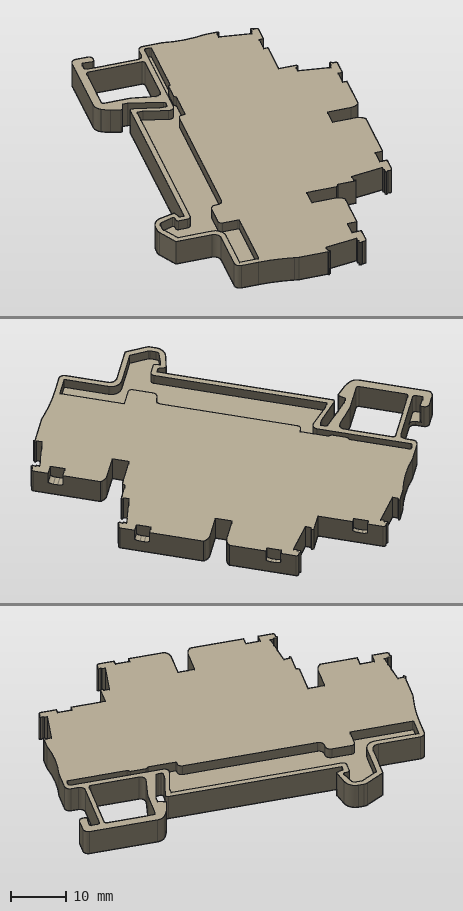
import cadquery as cq
import math

length = 68.0
height = 46.0
thickness = 5.2
edge_radius = 1.0

lower_top = 35.3
step_rise = height - lower_top
step_shift = 13.8
lower_mirror_sum = 67.85
upper_mirror_sum = 63.2
upper_left_wall = 13.6
upper_right_wall = 49.4
shoulder_y = 28.0

slot_width = 3.1
slot_depth = 6.1
upper_slot_x = 28.5
lower_slot_x = 50.0
slot_mouth_flare = 0.8
slot_mouth_height = 1.55
slot_mouth_radius = 2.05

deck_y = 12.7
beam_y = 5.9
beam_right_x = 50.0
right_ledge_y = 10.4
right_edge_x = 67.0
right_flank_x = 67.8
right_foot_x = 56.7

waist_bottom_y = 17.4
waist_top_y = 25.6
waist_depth = 0.4

foot_wall_x = 3.4
foot_wall_thickness = 0.9
foot_floor = 1.6
hook_height = 4.1
hook_thickness = 1.6
hook_web_thickness = 1.0
web_overlap = 0.4
window_right_x = 13.9

slit_left_x = 15.15
slit_right_x = 18.2
foot_latch_x = 16.7
foot_latch_y = 4.6

recess_depth = 2.05
rim = 1.0
recess_top = 15.1
recess_step_y = 13.75
recess_left_x = 0.8
recess_beam_x = 18.2
recess_step_x = 21.4
recess_dip = 0.4
tongue_left_x = 48.55
tongue_right_x = 54.0
tongue_y = 11.3

notch_width = 2.7
notch_floor_width = 0.8
notch_depth = thickness / 2
notch_curl = 0.3
marker_notches = [
    (4.4, lower_top, 0.8),
    (18.15, height, 0.8),
    (42.5, height, 1.4),
    (60.9, lower_top, 1.85),
]


def corner_arc(before, here, after, radius):
    """Start, middle and end of the arc that rounds the corner `here` between its neighbours."""
    to_before = (before - here).normalized()
    to_after = (after - here).normalized()
    half_angle = to_before.getAngle(to_after) / 2
    setback = radius / math.tan(half_angle)
    middle_gap = radius / math.sin(half_angle) - radius
    bisector = (to_before + to_after).normalized()
    return [here + to_before * setback, here + bisector * middle_gap, here + to_after * setback]


def rounded_profile(corners):
    """Closed outline through (x, y) or (x, y, radius) corners, with each radius as a tangent arc."""
    points = [cq.Vector(x, y) for x, y, *_ in corners]
    stretches = []
    for i, (_, _, *radius) in enumerate(corners):
        if radius:
            following = points[(i + 1) % len(points)]
            stretches.append(corner_arc(points[i - 1], points[i], following, radius[0]))
        else:
            stretches.append([points[i]])

    start = stretches[0][-1]
    profile = cq.Workplane("XY").moveTo(start.x, start.y)
    for stretch in stretches[1:] + stretches[:1]:
        profile = profile.lineTo(stretch[0].x, stretch[0].y)
        if len(stretch) > 1:
            middle, end = stretch[1:]
            profile = profile.threePointArc((middle.x, middle.y), (end.x, end.y))
    return profile.close()


def left_jaw(shift_x, shift_y):
    """Latch jaw at the left end of a step, from its shoulder up to the top corner."""
    jaw = [
        (0.2, shoulder_y + 0.15),
        (0.4, shoulder_y - 0.3),
        (1.4, shoulder_y - 0.35),
        (2.3, lower_top - 1.5),
        (1.7, lower_top - 1.55),
        (1.55, lower_top - 1.3),
        (1.0, lower_top - 1.4),
        (0.8, lower_top - 1.15),
        (1.1, lower_top - 0.8),
        (1.1, lower_top, 0.4),
    ]
    return [(x + shift_x, y + shift_y, *radius) for x, y, *radius in jaw]


def right_jaw(mirror_sum, shift_x, shift_y):
    """Mirror image of a left jaw, from the top corner down to the shoulder."""
    jaw = reversed(left_jaw(shift_x, shift_y))
    return [(mirror_sum - x, y, *radius) for x, y, *radius in jaw]


def slot(left_x, top_y, left_mouth):
    """Slot with a flared right mouth and the given corners as its left mouth."""
    right_x = left_x + slot_width
    floor_y = top_y - slot_depth
    return left_mouth + [
        (left_x, floor_y),
        (right_x, floor_y),
        (right_x, top_y - slot_mouth_height / 2, slot_mouth_radius),
        (right_x + slot_mouth_flare, top_y),
    ]


def body_outline():
    """Corners of the whole body, clockwise from the underside of the left foot."""
    left_foot = [
        (15.9, 1.8, 6.1),
        (14.8, 0, 1.9),
        (0, 0, edge_radius),
        (0, hook_height, 0.8),
        (hook_thickness, hook_height, 0.35),
        (hook_thickness - 0.2, foot_floor, 0.35),
        (foot_wall_x, foot_floor, 0.55),
        (foot_wall_x, deck_y, edge_radius),
        (0, deck_y, edge_radius),
        (0, shoulder_y),
    ]
    upper_slot_mouth = [
        (upper_slot_x - slot_mouth_flare, height),
        (upper_slot_x, height - slot_mouth_height / 2, slot_mouth_radius),
    ]
    lower_slot_mouth = [
        (upper_right_wall, lower_top),
        (lower_slot_x, lower_top - 0.4),
    ]
    top = (
        left_jaw(0, 0)
        + [(upper_left_wall, lower_top), (upper_left_wall, shoulder_y + step_rise)]
        + left_jaw(step_shift, step_rise)
        + slot(upper_slot_x, height, upper_slot_mouth)
        + right_jaw(upper_mirror_sum, step_shift, step_rise)
        + [(upper_right_wall, shoulder_y + step_rise)]
        + slot(lower_slot_x, lower_top, lower_slot_mouth)
        + right_jaw(lower_mirror_sum, 0, 0)
    )
    right_foot = [
        (length, shoulder_y - 0.3),
        (right_flank_x, shoulder_y - 0.4),
        (right_flank_x, 22.1),
        (right_edge_x, 18.0, 34.0),
        (right_edge_x, right_ledge_y, edge_radius),
        (right_foot_x, right_ledge_y, 1.35),
        (right_foot_x, 2.25, 0.2),
        (52.9, 0, 1.35),
        (49.7, 0, 2.3),
        (48.55, 4.5, 0.2),
        (beam_right_x, 5.0, 0.2),
        (beam_right_x, beam_y),
    ]
    slit = [
        (16.85, beam_y, 0.4),
        (slit_right_x, 11.4, 1.0),
        (slit_right_x, deck_y, 0.35),
        (16.9, deck_y, 0.5),
        (slit_left_x, 6.1, 0.35),
        (slit_left_x, foot_latch_y + 0.5),
        (foot_latch_x, foot_latch_y, 0.3),
    ]
    return left_foot + top + right_foot + slit


def prism(corners, base_z, rise):
    """Upright block with a rounded outline."""
    return rounded_profile(corners).extrude(rise).translate((0, 0, base_z))


def foot_window():
    """Opening right through the left foot."""
    left_x = foot_wall_x + foot_wall_thickness
    corners = [
        (left_x, foot_floor, 0.5),
        (window_right_x, foot_floor, 0.5),
        (window_right_x, 7.1, 1.35),
        (14.75, 11.5, 0.35),
        (14.75, deck_y, edge_radius),
        (left_x, deck_y, 0.5),
    ]
    return prism(corners, 0, thickness)


def hook_web():
    """Thin floor that closes the gap between the left hook and the foot wall."""
    left_x = hook_thickness - web_overlap
    right_x = foot_wall_x + web_overlap
    low_y = foot_floor - web_overlap
    high_y = hook_height + 2 * edge_radius
    corners = [
        (left_x, low_y),
        (right_x, low_y),
        (right_x, high_y),
        (foot_wall_x, high_y),
        (foot_wall_x, hook_height, edge_radius),
        (left_x, hook_height),
    ]
    return prism(corners, 0, hook_web_thickness)


def recess():
    """Recess sunk from the upper face, leaving a rim around the beam and the right foot."""
    corners = [
        (recess_left_x, recess_top, 0.3),
        (recess_left_x, recess_step_y, 0.4),
        (19.8, recess_step_y, 0.95),
        (recess_beam_x, 8.1),
        (recess_beam_x, beam_y + rim),
        (beam_right_x + rim, beam_y + rim, 0.7),
        (beam_right_x + rim, 4.15, 0.4),
        (49.65, 4.1, 0.3),
        (50.7, rim, 0.7),
        (52.5, rim, 0.55),
        (right_foot_x - rim, 2.9),
        (right_foot_x - rim, right_ledge_y + rim, 2.0),
        (right_edge_x - rim, right_ledge_y + rim),
        (right_edge_x - rim, recess_top, 0.2),
        (tongue_right_x, recess_top, 0.2),
        (tongue_right_x, tongue_y, 0.7),
        (tongue_left_x, tongue_y, 1.0),
        (tongue_left_x, recess_step_y, 1.0),
        (recess_step_x, recess_step_y, 0.8),
        (recess_step_x, recess_top, 0.2),
        (16.1, recess_top, 0.2),
        (15.7, recess_top - recess_dip, 0.2),
        (12.65, recess_top - recess_dip, 0.2),
        (12.25, recess_top, 0.2),
    ]
    return prism(corners, thickness - recess_depth, recess_depth)


def left_waist():
    """Shallow hollow in the left flank."""
    return (
        cq.Workplane("XY")
        .moveTo(0, waist_bottom_y)
        .threePointArc((waist_depth, (waist_bottom_y + waist_top_y) / 2), (0, waist_top_y))
        .close()
        .extrude(thickness)
    )


def marker_notch(left_x, top_y, reach):
    """Notch in a top edge: its floor is flat in the middle and curls up towards both walls."""
    right_x = left_x + notch_width
    floor_left = left_x + (notch_width - notch_floor_width) / 2
    floor_right = floor_left + notch_floor_width
    floor_z = thickness - notch_depth
    curl_z = floor_z + notch_curl
    curl_width = floor_left - left_x
    curl_radius = (curl_width**2 + notch_curl**2) / (2 * notch_curl)
    return (
        cq.Workplane("XZ", origin=(0, top_y - reach, 0))
        .moveTo(floor_left, floor_z)
        .lineTo(floor_right, floor_z)
        .radiusArc((right_x, curl_z), -curl_radius)
        .lineTo(right_x, thickness)
        .lineTo(left_x, thickness)
        .lineTo(left_x, curl_z)
        .radiusArc((floor_left, floor_z), -curl_radius)
        .close()
        .extrude(-reach)
    )


result = prism(body_outline(), 0, thickness)
result = result.cut(foot_window()).cut(recess()).cut(left_waist()).union(hook_web())
for left_x, top_y, reach in marker_notches:
    result = result.cut(marker_notch(left_x, top_y, reach))